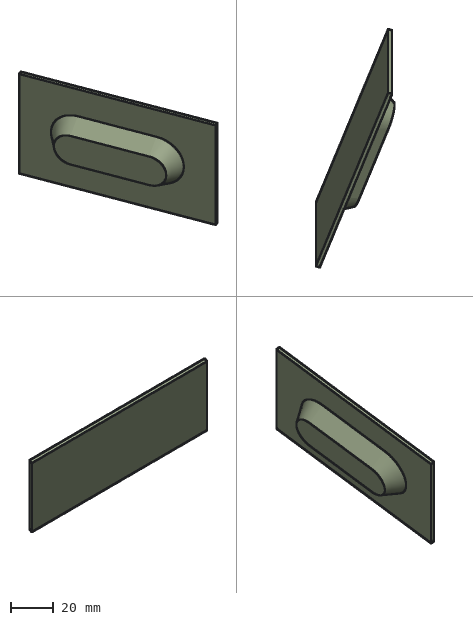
import cadquery as cq
import math

plate_length = 100.0
plate_height = 60.0
plate_thickness = 2.0

boss_depth = 9.0
boss_draft_angle = 30.0
boss_straight_length = 40.0
boss_base_radius = 13.8
boss_tip_radius = boss_base_radius - boss_depth * math.tan(math.radians(boss_draft_angle))


def slot_length(end_radius):
    """Overall length of a slot whose end arcs have the given radius."""
    return boss_straight_length + 2 * end_radius


plate = cq.Workplane("XZ").rect(plate_length, plate_height).extrude(plate_thickness)

boss = (
    cq.Workplane("XZ", origin=(0, -plate_thickness, 0))
    .slot2D(slot_length(boss_base_radius), 2 * boss_base_radius)
    .workplane(offset=boss_depth)
    .slot2D(slot_length(boss_tip_radius), 2 * boss_tip_radius)
    .loft(ruled=True, combine=True)
)

result = plate.union(boss)